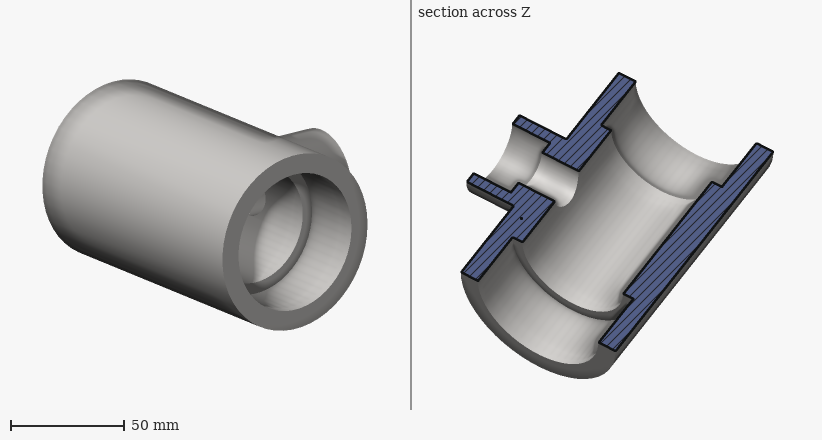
import cadquery as cq

run_length = 130.0
run_diameter = 81.0
run_bore_diameter = 52.6
run_socket_diameter = 63.0
run_socket_depth = 28.5

branch_reach = 65.0
branch_diameter = 43.5
branch_bore_diameter = 19.5
branch_socket_diameter = 32.0
branch_socket_depth = 19.5


def run_cylinder(diameter, start, length):
    """Cylinder on the X axis, growing toward +X from x = start."""
    return cq.Workplane("YZ").workplane(offset=start).circle(diameter / 2).extrude(length)


def branch_cylinder(diameter, start, end):
    """Cylinder on the Y axis between two Y positions."""
    return cq.Workplane("XZ").workplane(offset=-end).circle(diameter / 2).extrude(end - start)


tee = run_cylinder(run_diameter, -run_length / 2, run_length)
tee = tee.union(branch_cylinder(branch_diameter, 0, branch_reach))

tee = tee.cut(run_cylinder(run_bore_diameter, -run_length / 2, run_length))
for socket_start in (-run_length / 2, run_length / 2 - run_socket_depth):
    tee = tee.cut(run_cylinder(run_socket_diameter, socket_start, run_socket_depth))

tee = tee.cut(branch_cylinder(branch_bore_diameter, 0, branch_reach))
tee = tee.cut(branch_cylinder(branch_socket_diameter, branch_reach - branch_socket_depth, branch_reach))

result = tee